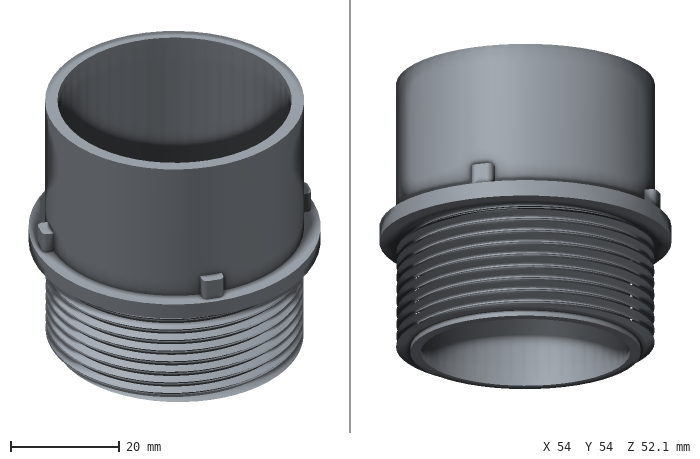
import cadquery as cq
import math

total_height = 52.1
lead_height = 1.0
flange_bottom = 21.5
flange_thickness = 3.0
flange_top = flange_bottom + flange_thickness

flange_diameter = 54.0
tube_diameter = 47.9
socket_diameter = 43.3
bore_diameter = 38.7
lead_diameter = 42.6

thread_major_diameter = tube_diameter
thread_pitch_diameter = 46.15
thread_root_diameter = 44.84
threads_per_inch = 11
inch = 25.4
thread_pitch = inch / threads_per_inch
flank_half_angle = 27.5
thread_crest_height = 3.09
thread_overlap = 0.3
spare_turns = 2
root_dip = 0.02
root_end_angle = 15.0

tab_count = 4
tab_width = 4.1
tab_height = 4.0
tab_span = 51.9
tab_corner_radius = 1.0
tab_overlap = 1.0


def cylinder(diameter, bottom, top):
    """Upright cylinder on the part axis between two heights."""
    return cq.Workplane("XY").workplane(offset=bottom).circle(diameter / 2).extrude(top - bottom)


def rounding_radius(truncation, half_angle):
    """Radius of the arc that rounds off a sharp V by the given depth, tangent to both flanks."""
    return truncation * math.sin(half_angle) / (1 - math.sin(half_angle))


def thread_ridge():
    """Helical ridge with round crest and feet, longer than the threaded length at both ends."""
    half_angle = math.radians(flank_half_angle)
    half_pitch = thread_pitch / 2
    crest_radius = thread_major_diameter / 2
    foot_radius = thread_root_diameter / 2 - root_dip

    apex_distance = half_pitch / 2 / math.tan(half_angle)
    sharp_crest = thread_pitch_diameter / 2 + apex_distance
    sharp_root = thread_pitch_diameter / 2 - apex_distance
    crest_rounding = rounding_radius(sharp_crest - crest_radius, half_angle)
    root_rounding = rounding_radius(foot_radius - sharp_root, half_angle)

    def crest_point(angle):
        """Radius and height offset on the crest arc; the angle is measured from its tip."""
        radius = crest_radius - crest_rounding * (1 - math.cos(angle))
        return radius, crest_rounding * math.sin(angle)

    def root_point(angle):
        """Radius and height offset on the foot arc; the angle is measured from its lowest point."""
        radius = foot_radius + root_rounding * (1 - math.cos(angle))
        return radius, half_pitch - root_rounding * math.sin(angle)

    start = thread_crest_height - spare_turns * thread_pitch
    turns = math.ceil((flange_bottom - start) / thread_pitch) + 1
    tangent_angle = math.pi / 2 - half_angle
    foot_end_angle = math.radians(root_end_angle)

    def above(point):
        """Profile point on the upper side of the ridge."""
        return point[0], start + point[1]

    def below(point):
        """Profile point on the lower side of the ridge."""
        return point[0], start - point[1]

    crest_end = crest_point(tangent_angle)
    foot_start = root_point(tangent_angle)
    foot_middle = root_point((tangent_angle + foot_end_angle) / 2)
    foot_end = root_point(foot_end_angle)
    inner_end = (foot_end[0] - thread_overlap, foot_end[1])
    profile = (
        cq.Workplane("XZ")
        .moveTo(*below(inner_end))
        .lineTo(*below(foot_end))
        .threePointArc(below(foot_middle), below(foot_start))
        .lineTo(*below(crest_end))
        .threePointArc((crest_radius, start), above(crest_end))
        .lineTo(*above(foot_start))
        .threePointArc(above(foot_middle), above(foot_end))
        .lineTo(*above(inner_end))
        .close()
    )
    helix = cq.Wire.makeHelix(thread_pitch, turns * thread_pitch, foot_radius, cq.Vector(0, 0, start))
    return profile.sweep(cq.Workplane(helix), isFrenet=True)


def tab(angle):
    """Locating tab reaching out from the tube wall, with rounded outer corners."""
    length = (tab_span - tube_diameter) / 2 + tab_overlap
    return (
        cq.Workplane("XY")
        .workplane(offset=flange_top)
        .center(tab_span / 2 - length / 2, 0)
        .rect(length, tab_width)
        .extrude(tab_height)
        .edges("|Z and >X")
        .fillet(tab_corner_radius)
        .rotate((0, 0, 0), (0, 0, 1), angle)
    )


def threaded_section():
    """Root sleeve with its thread, trimmed flat above the lead and at the flange underside."""
    margin = thread_pitch
    sleeve = cylinder(thread_root_diameter, lead_height - margin, flange_bottom + margin)
    bore = cylinder(bore_diameter, lead_height - margin, flange_bottom + margin)
    band = cylinder(flange_diameter, lead_height, flange_bottom)
    return sleeve.cut(bore).union(thread_ridge()).intersect(band)


def plain_body():
    """Lead, flange, socket tube and tabs, with the bore and the socket opened up."""
    body = (
        cylinder(lead_diameter, 0, flange_bottom)
        .union(cylinder(flange_diameter, flange_bottom, flange_top))
        .union(cylinder(tube_diameter, flange_top, total_height))
    )
    for index in range(tab_count):
        body = body.union(tab(index * 360 / tab_count))
    bore = cylinder(bore_diameter, 0, total_height)
    socket = cylinder(socket_diameter, flange_bottom, total_height)
    return body.cut(bore).cut(socket)


result = plain_body().union(threaded_section()).solids()